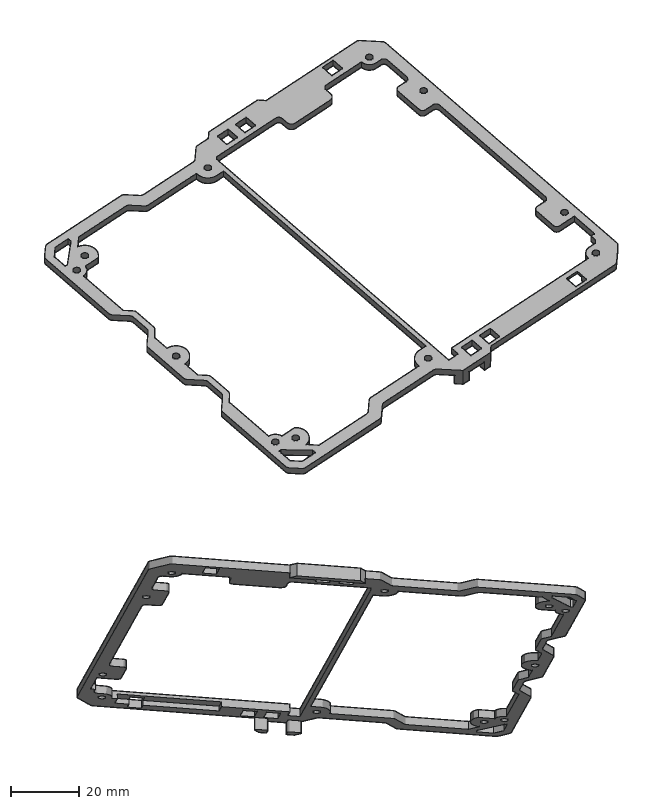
import cadquery as cq
import math

thickness = 2.5
half_width = 57.5
half_length = 65.0
rail = 4.0
top_chamfer = 5.5
bottom_chamfer = 3.5

tab_reach = 1.8
tab_x = half_width + tab_reach
left_tab_bottom = 1.5
left_tab_top = 24.0
right_tab_top = 10.9

outline_fillet = 1.5

waist_step = 4.0
waist_half_width = half_width - waist_step
waist_top = -3.2
waist_bottom = -27.6
right_tab_bottom = waist_top + tab_reach

recess_x = 16.6
recess_half_width = 8.1
recess_depth = 4.5
recess_top = -half_length + recess_depth
raised_rail = 2.0

bar_top = -1.9
bar_bottom = -3.4

lower_floor = -half_length + rail
brace_y = -52.2

upper_half_width = 50.5
upper_top = half_length - rail
upper_corner_fillet = 1.0
bay_half_x = 53.5
bay_top = 1.7
notch_left, notch_right, notch_top = 35.5, 44.5, 62.4

pad_bottom = 55.4
left_pad_x = (-36.2, -24.2)
right_pad_x = (25.5, notch_left)
pad_fillet = 1.3
wide_pad_edge = -45.3
wide_pad_y = (22.9, 39.9)
wide_pad_fillet = 1.8

hole_diameter = 2.2
corner_hole = (50.4, 57.8)
corner_boss_radius = 3.0
left_pad_hole = (-30.2, 61.2)
right_pad_hole = (32.5, 61.2)
waist_hole = (49.0, -6.0)
large_boss_radius = 4.0
inner_hole = (46.9, -55.5)
inner_boss_flat_x = 43.7
outer_hole = (44.2, -61.0)
small_boss_radius = 3.0
middle_hole = (0.0, -61.0)

square_size = 4.2
square_x = 54.3
square_ys = (46.9, 13.2, 6.2)

corner_opening = [(55.0, -54.9), (53.8, -54.9), (47.6, -61.7), (47.6, -62.5), (52.5, -62.5), (55.0, -60.0)]

relief_y = (22.1, 53.2)
relief_outer_x = 54.0
relieved_thickness = 1.0

left_lip_width = 2.0
left_lip_depth = 4.0
right_lug_width = 2.4
right_lug_depth = 6.2
right_lug_spans = ((6.9, right_tab_top), (waist_top - waist_step, 1.0))
right_lug_fillet = 0.5

both_sides = (-1, 1)
pick_reach = 0.05


def prism(points, depth=thickness):
    """Solid of a closed outline, reaching down from the top face."""
    return cq.Workplane("XY").polyline(points).close().extrude(-depth)


def block(x_min, x_max, y_min, y_max, depth=thickness):
    """Rectangular solid reaching down from the top face."""
    return prism([(x_min, y_min), (x_max, y_min), (x_max, y_max), (x_min, y_max)], depth)


def side_block(side, inner_x, outer_x, y_min, y_max):
    """Block between two distances from the middle, on one side."""
    x_min, x_max = sorted((side * inner_x, side * outer_x))
    return block(x_min, x_max, y_min, y_max)


def cylinder(center, radius):
    return cq.Workplane("XY").center(*center).circle(radius).extrude(-thickness)


def mirrored(point, side):
    return (side * point[0], point[1])


def round_edges(body, points, radius):
    """Fillet the vertical edges that stand at the given points."""
    for x, y in points:
        low = (x - pick_reach, y - pick_reach, -half_length)
        high = (x + pick_reach, y + pick_reach, half_length)
        box = cq.selectors.BoxSelector(low, high)
        body = body.edges("|Z").edges(box).fillet(radius)
    return body


def outline_corners():
    """Corners shared by both sides: those below the tabs and those at the top."""
    lower = [
        (half_width - bottom_chamfer, -half_length),
        (half_width, -half_length + bottom_chamfer),
        (half_width, waist_bottom - waist_step),
        (waist_half_width, waist_bottom),
        (waist_half_width, waist_top - waist_step),
    ]
    upper = [
        (half_width, half_length - top_chamfer),
        (half_width - top_chamfer, half_length),
    ]
    return lower, upper


def full_outline(depth=thickness):
    """The outer shape with both tabs, without any opening."""
    lower, upper = outline_corners()
    right_tab = [
        (tab_x, right_tab_bottom),
        (tab_x, right_tab_top - tab_reach),
        (half_width, right_tab_top),
    ]
    left_waist_corner = (-half_width, waist_top)
    left_tab = [
        left_waist_corner,
        (-half_width, left_tab_bottom),
        (-tab_x, left_tab_bottom + tab_reach),
        (-tab_x, left_tab_top - tab_reach),
        (-half_width, left_tab_top),
    ]
    right_side = lower + right_tab + upper
    left_side = [mirrored(p, -1) for p in lower] + left_tab + [mirrored(p, -1) for p in upper]
    rounded = [mirrored(p, side) for side in both_sides for p in lower + upper]
    shape = prism(right_side + left_side[::-1], depth)
    return round_edges(shape, rounded + [left_waist_corner], outline_fillet)


def trapezoid(x, base_half, base_y, top_y):
    """Trapezoidal solid whose sides slope at 45 degrees."""
    top_half = base_half - (top_y - base_y)
    corners = [
        (x - base_half, base_y),
        (x + base_half, base_y),
        (x + top_half, top_y),
        (x - top_half, top_y),
    ]
    return prism(corners)


def corner_boss(side):
    """Round boss that runs straight on into the top rail and the side rail."""
    x, y = corner_hole
    neck = side_block(side, x - corner_boss_radius, half_width, y, upper_top)
    return cylinder((side * x, y), corner_boss_radius).union(neck)


def upper_window():
    window = block(-upper_half_width, upper_half_width, bar_top, upper_top)
    window = round_edges(window, [(-upper_half_width, bar_top)], upper_corner_fillet)
    window = window.union(block(0, bay_half_x, bar_top, bay_top))
    boss_edge = corner_hole[0] - corner_boss_radius
    for side in both_sides:
        window = window.cut(corner_boss(side))
        window = round_edges(window, [(side * boss_edge, upper_top)], pad_fillet)
    for pad_x in (left_pad_x, right_pad_x):
        window = window.cut(block(*pad_x, pad_bottom, upper_top))
        window = round_edges(window, [(x, pad_bottom) for x in pad_x], pad_fillet)
    pad_roots = [(x, upper_top) for x in (*left_pad_x, right_pad_x[0])]
    window = round_edges(window, pad_roots, pad_fillet)
    window = window.cut(block(-half_width, wide_pad_edge, *wide_pad_y))
    window = round_edges(window, [(wide_pad_edge, y) for y in wide_pad_y], wide_pad_fillet)
    window = round_edges(window, [(-upper_half_width, y) for y in wide_pad_y], pad_fillet)
    return window.union(block(notch_left, notch_right, upper_top, notch_top))


def raised_rail_body(side):
    """Part of the bottom rail that rises into the lower window above a recess."""
    base_half = recess_half_width - rail + raised_rail * math.sqrt(2)
    top = recess_top + raised_rail
    return trapezoid(side * recess_x, base_half, lower_floor, top).edges("|Z and >Y").fillet(outline_fillet)


def lower_window():
    inner_half = waist_half_width - rail
    wide_half = half_width - rail
    knee = waist_bottom - rail * math.tan(math.pi / 8)
    right_side = [
        (inner_half, bar_bottom),
        (inner_half, knee),
        (wide_half, knee - (wide_half - inner_half)),
        (wide_half, brace_y),
        (wide_half - (brace_y - lower_floor), lower_floor),
    ]
    window = prism(right_side + [mirrored(p, -1) for p in right_side[::-1]])
    knees = [mirrored(p, side) for side in both_sides for p in right_side[1:3]]
    window = round_edges(window, knees, outline_fillet)
    for side in both_sides:
        window = window.cut(raised_rail_body(side))
        window = window.cut(waist_boss(side)).cut(inner_boss(side))
        window = window.cut(cylinder(mirrored(outer_hole, side), small_boss_radius))
    return window.cut(cylinder(middle_hole, large_boss_radius))


def waist_boss(side):
    """Round boss joined to the crossbar by a straight-sided part."""
    x, y = mirrored(waist_hole, side)
    neck = side_block(side, waist_hole[0] - large_boss_radius, waist_half_width, y, bar_bottom)
    return cylinder((x, y), large_boss_radius).union(neck)


def inner_boss(side):
    """Round boss with a flat towards the middle of the part."""
    boss = cylinder(mirrored(inner_hole, side), large_boss_radius)
    return boss.intersect(side_block(side, inner_boss_flat_x, half_width, -half_length, 0))


def bottom_recess(side):
    recess = trapezoid(side * recess_x, recess_half_width, -half_length, recess_top)
    return recess.edges("|Z and >Y").fillet(outline_fillet)


def holes():
    centers = [left_pad_hole, right_pad_hole, middle_hole]
    for side in both_sides:
        centers += [mirrored(p, side) for p in (corner_hole, waist_hole, inner_hole, outer_hole)]
    return cq.Workplane("XY").pushPoints(centers).circle(hole_diameter / 2).extrude(-thickness)


def square_holes():
    centers = [(side * square_x, y) for side in both_sides for y in square_ys]
    return cq.Workplane("XY").pushPoints(centers).rect(square_size, square_size).extrude(-thickness)


def rail_relief():
    """Hollow that thins the right rail from below."""
    full_depth = block(upper_half_width, relief_outer_x, *relief_y)
    kept = block(upper_half_width, relief_outer_x, *relief_y, relieved_thickness)
    return full_depth.cut(kept)


def left_lip():
    strip = block(-tab_x, -tab_x + left_lip_width, left_tab_bottom, left_tab_top, left_lip_depth)
    return strip.intersect(full_outline(left_lip_depth))


def right_lug(y_min, y_max):
    inner_x = tab_x - right_lug_width
    lug = block(inner_x, tab_x, y_min, y_max, right_lug_depth).intersect(full_outline(right_lug_depth))
    return lug.edges("|Z and <X").fillet(right_lug_fillet)


result = full_outline()
result = result.cut(upper_window()).cut(lower_window())
for side in both_sides:
    result = result.cut(bottom_recess(side))
    mouth_ends = (side * recess_x - recess_half_width, side * recess_x + recess_half_width)
    result = round_edges(result, [(x, -half_length) for x in mouth_ends], outline_fillet)
    result = result.cut(prism([mirrored(p, side) for p in corner_opening]))
result = result.cut(holes()).cut(square_holes()).cut(rail_relief())
result = result.union(left_lip())
for span in right_lug_spans:
    result = result.union(right_lug(*span))